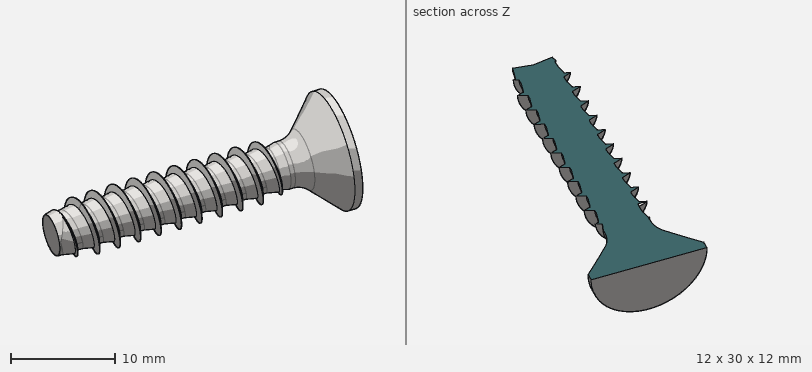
import cadquery as cq
import math

length = 30.0

head_radius = 6.0
rim_thickness = 0.85
neck_radius = 2.37
neck_fillet = 2.43
neck_end = 5.95
cone_angle = math.radians(45)

core_radius = 2.1
core_start = 6.87
tip_radius = 2.07
tip_bevel_length = 1.08
tip_bevel_height = 0.3
tip_recess_radius = 1.98
tip_recess_depth = 0.3

thread_start = 8.1
thread_end = 26.82
thread_angle = 180
full_turns = 8.75
pitch = (thread_end - thread_start) / full_turns
fade_turns = 1.6
crest_radius = 3.03
crest_width = 0.05
head_side_foot = 0.4
tip_side_foot = 0.35
slope_height = 0.27
slope_width = 1.35
burial = 0.03


def revolve_about_axis(profile):
    return profile.close().revolve(360, (0, 0, 0), (0, 1, 0))


def make_head():
    """Head, filleted neck and the short cone down to the core."""
    fillet_drop = neck_fillet * (1 - math.cos(cone_angle))
    fillet_start_radius = neck_radius + fillet_drop
    fillet_start = rim_thickness + (head_radius - fillet_start_radius) / math.tan(cone_angle)
    fillet_end = fillet_start + neck_fillet * math.sin(cone_angle)
    fillet_middle = (
        neck_radius + neck_fillet * (1 - math.cos(cone_angle / 2)),
        fillet_end - neck_fillet * math.sin(cone_angle / 2),
    )
    profile = (
        cq.Workplane("YZ")
        .lineTo(head_radius, 0)
        .lineTo(head_radius, rim_thickness)
        .lineTo(fillet_start_radius, fillet_start)
        .threePointArc(fillet_middle, (neck_radius, fillet_end))
        .lineTo(neck_radius, neck_end)
        .lineTo(core_radius, core_start)
        .lineTo(0, core_start)
    )
    return revolve_about_axis(profile)


def sweep_along_helix(profile_points, start_depth, turns, start_radius, end_radius):
    """Sweep (radial offset, axial offset) points along a right-handed helix, which may widen or narrow.

    Every helix is phased so that it lies on the one thread path.
    """
    height = pitch * turns
    taper = math.atan2(end_radius - start_radius, height)
    slant = 1 / math.cos(taper)
    helix = cq.Wire.makeHelix(
        pitch * slant,
        height * slant,
        start_radius,
        center=cq.Vector(0, 0, start_depth),
        angle=math.degrees(taper) if taper else 360,
    )
    profile = cq.Workplane("XZ", origin=(start_radius, 0, start_depth)).polyline(profile_points).close()
    start_angle = thread_angle + 360 * (start_depth - thread_start) / pitch
    return profile.sweep(cq.Workplane(helix), isFrenet=True).rotate((0, 0, 0), (0, 0, 1), start_angle)


def make_thread():
    """Sharp ridge at full height, rising out of the core at the neck and sinking into it at the tip."""
    foot_drop = crest_radius - core_radius + burial
    ridge_profile = [
        (-foot_drop, -head_side_foot),
        (0, -crest_width / 2),
        (0, crest_width / 2),
        (-foot_drop, tip_side_foot),
    ]
    run_in_start = thread_start - pitch * fade_turns
    run_in = sweep_along_helix(ridge_profile, run_in_start, fade_turns, core_radius, crest_radius)
    full = sweep_along_helix(ridge_profile, thread_start, full_turns, crest_radius, crest_radius)
    run_out = sweep_along_helix(ridge_profile, thread_end, fade_turns, crest_radius, core_radius)
    return [run_in, full, run_out]


def make_core_slope():
    """Helical band that falls from behind the thread to the plain core before the next turn."""
    slope_profile = [
        (-burial, 0),
        (slope_height, 0),
        (-burial, slope_width * (1 + burial / slope_height)),
    ]
    start_depth = thread_start - pitch * fade_turns
    turns = full_turns + 2 * fade_turns
    return sweep_along_helix(slope_profile, start_depth, turns, core_radius, core_radius)


def make_shank():
    """Core, sloping band and thread, cut off flat at the neck and bevelled at the tip."""
    shank = cq.Workplane("XY").circle(core_radius).extrude(length + 2 * pitch)
    shank = shank.union(make_core_slope())
    for ridge in make_thread():
        shank = shank.union(ridge)
    clear_radius = crest_radius + tip_bevel_height
    limits = revolve_about_axis(
        cq.Workplane("YZ")
        .moveTo(0, neck_end)
        .lineTo(clear_radius, neck_end)
        .lineTo(clear_radius, length - tip_bevel_length)
        .lineTo(tip_radius + tip_bevel_height, length - tip_bevel_length)
        .lineTo(tip_radius, length)
        .lineTo(0, length)
    )
    return shank.intersect(limits)


def make_tip_recess():
    """Shallow conical hollow in the tip face."""
    return revolve_about_axis(
        cq.Workplane("YZ")
        .moveTo(0, length - tip_recess_depth)
        .lineTo(tip_recess_radius, length)
        .lineTo(0, length)
    )


screw = make_head().union(make_shank()).cut(make_tip_recess())
result = screw.rotate((0, 0, 0), (1, 0, 0), 90)